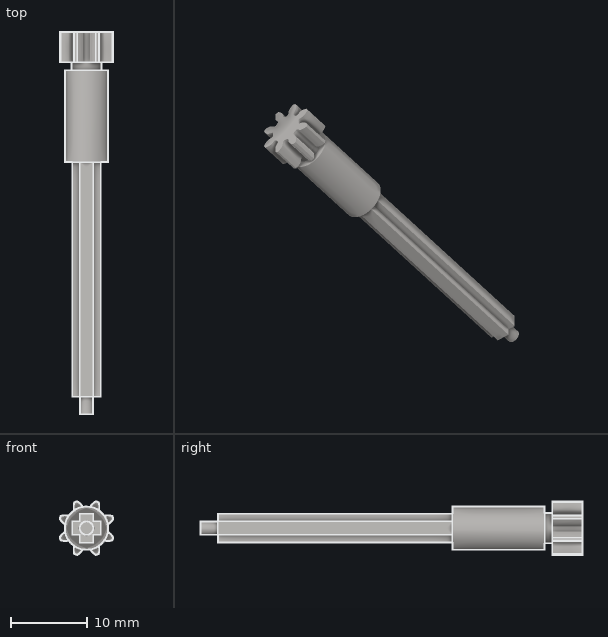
import cadquery as cq
import math


total_length = 50.21
gear_length = 4.0
collar_length = 1.0
body_length = 12.1
pin_length = 2.3
cross_length = total_length - gear_length - collar_length - body_length - pin_length

collar_diameter = 4.0
body_diameter = 5.7
pin_diameter = 1.77

cross_span = 3.8
cross_arm_width = pin_diameter

module = 0.75
tooth_count = 8
pressure_angle = math.radians(20)
root_clearance = 0.25 * module
root_fillet = 0.38 * module
flank_points = 8

pitch_radius = module * tooth_count / 2
tip_radius = pitch_radius + module
root_radius = pitch_radius - module - root_clearance
base_radius = pitch_radius * math.cos(pressure_angle)
tooth_pitch = 2 * math.pi / tooth_count
first_tooth_angle = tooth_pitch / 2


def polar(radius, angle):
    return (radius * math.cos(angle), radius * math.sin(angle))


def involute(angle):
    return math.tan(angle) - angle


base_half_angle = tooth_pitch / 4 + involute(pressure_angle)


def flank(center_angle, side):
    """Points of one involute flank, from the base circle out to the tip."""
    tip_roll = math.sqrt((tip_radius / base_radius) ** 2 - 1)
    points = []
    for i in range(flank_points):
        roll = tip_roll * i / (flank_points - 1)
        radius = base_radius * math.sqrt(1 + roll ** 2)
        half_angle = base_half_angle - (roll - math.atan(roll))
        points.append(polar(radius, center_angle + side * half_angle))
    return points


def gear_outline(plane):
    """Teeth with involute flanks, radial flank feet and filleted roots."""
    fillet_center_radius = root_radius + root_fillet
    fillet_angle = math.asin(root_fillet / fillet_center_radius)
    foot_radius = fillet_center_radius * math.cos(fillet_angle)

    def fillet_middle(center_angle, side):
        center_direction = center_angle + side * (base_half_angle + fillet_angle)
        cx, cy = polar(fillet_center_radius, center_direction)
        toward_root = center_direction + math.pi
        quarter_turn = math.pi / 2 - fillet_angle
        dx, dy = polar(root_fillet, toward_root + side * quarter_turn / 2)
        return (cx + dx, cy + dy)

    root_half_angle = base_half_angle + fillet_angle
    outline = plane.moveTo(*polar(root_radius, first_tooth_angle - root_half_angle))
    for tooth in range(tooth_count):
        center = first_tooth_angle + tooth * tooth_pitch
        rising = flank(center, -1)
        falling = flank(center, 1)[::-1]
        outline = (
            outline
            .threePointArc(fillet_middle(center, -1), polar(foot_radius, center - base_half_angle))
            .lineTo(*rising[0])
            .spline(rising[1:], includeCurrent=True)
            .threePointArc(polar(tip_radius, center), falling[0])
            .spline(falling[1:], includeCurrent=True)
            .lineTo(*polar(foot_radius, center + base_half_angle))
            .threePointArc(fillet_middle(center, 1), polar(root_radius, center + root_half_angle))
        )
        next_root = center + tooth_pitch - root_half_angle
        outline = outline.threePointArc(
            polar(root_radius, center + tooth_pitch / 2), polar(root_radius, next_root)
        )
    return outline.close()


def section_plane(y):
    """Cross-section plane at a station; extrusions from it run toward -Y."""
    return cq.Workplane("XZ", origin=(0, y, 0))


gear_end = total_length / 2
collar_start = gear_end - gear_length
body_start = collar_start - collar_length
cross_start = body_start - body_length
pin_start = cross_start - cross_length

gear = gear_outline(section_plane(gear_end)).extrude(gear_length)
collar = section_plane(collar_start).circle(collar_diameter / 2).extrude(collar_length)
body = section_plane(body_start).circle(body_diameter / 2).extrude(body_length)
cross = (
    section_plane(cross_start).rect(cross_span, cross_arm_width).extrude(cross_length)
    .union(section_plane(cross_start).rect(cross_arm_width, cross_span).extrude(cross_length))
)
pin = section_plane(pin_start).circle(pin_diameter / 2).extrude(pin_length)

result = gear.union(collar).union(body).union(cross).union(pin)